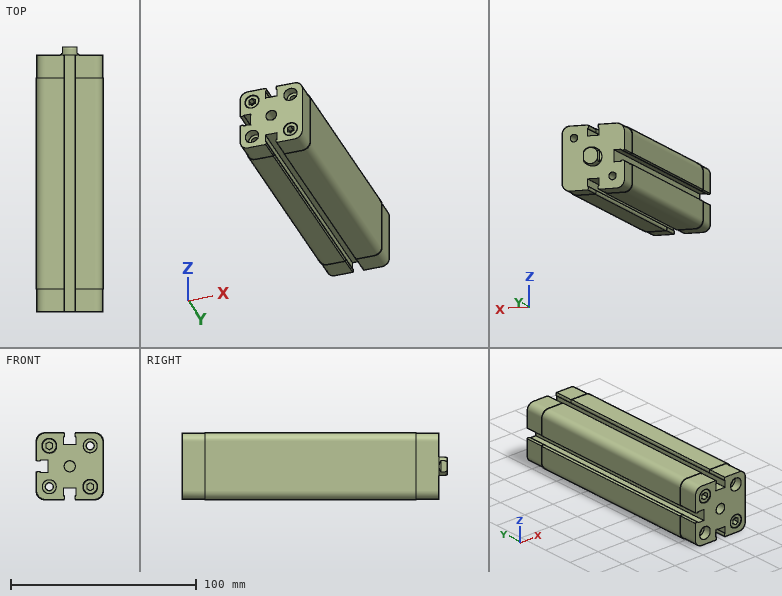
import cadquery as cq
import math

body_side = 36.1
cap_side = 35.6
cap_length = 12.2
housing_length = 138.0
body_length = housing_length - 2 * cap_length
rear_cap_start = housing_length - cap_length
body_corner_radius = 4.6
cap_corner_radius = 4.5

slot_floor_distance = 11.75
slot_lip_distance = 15.7
slot_mouth_width = 5.5
slot_inner_width = 6.6
slot_lip_bulge = 0.4
slot_turns = (0, -90, 180)

hole_offset = 11.0
mounting_places = [(hole_offset, hole_offset), (-hole_offset, -hole_offset)]
screw_places = [(-hole_offset, hole_offset), (hole_offset, -hole_offset)]
through_diameter = 4.13
counterbore_diameter = 7.5
counterbore_depth = 5.0
screw_pocket_diameter = 8.0
screw_pocket_depth = 5.0
screw_head_diameter = 7.5
screw_head_recess = 0.2
hex_across_flats = 3.7
hex_across_corners = hex_across_flats / math.cos(math.pi / 6)
hex_depth = 4.0
hex_turn = 90

port_diameter = 6.0
port_depth = 8.0

rod_diameter = 10.0
rod_length = 4.5
rod_tip_length = 1.45
rod_tip_depth = 0.55
rod_flat_width = 8.0
rod_flat_length = 3.4


def along_y(y):
    """Sketch plane at the given Y, facing +Y, with first axis along -X and second along +Z."""
    return cq.Workplane(cq.Plane(origin=(0, y, 0), xDir=(-1, 0, 0), normal=(0, 1, 0)))


def square_bar(side, corner_radius, start, length):
    """Bar along Y with rounded long edges."""
    bar = along_y(start).rect(side, side).extrude(length)
    return bar.edges("|Y").fillet(corner_radius)


def make_housing():
    """Square tube between two slightly smaller end caps."""
    body = square_bar(body_side, body_corner_radius, cap_length, body_length)
    front_cap = square_bar(cap_side, cap_corner_radius, 0, cap_length)
    rear_cap = square_bar(cap_side, cap_corner_radius, rear_cap_start, cap_length)
    return body.union(front_cap).union(rear_cap)


def make_slot(start, length, side):
    """Slot through the +Z face of a bar of the given side, between two lips that bulge inward."""
    mouth = slot_mouth_width / 2
    inner = slot_inner_width / 2
    lip_edge = mouth + slot_lip_bulge
    top = side / 2
    lip_middle = (slot_lip_distance + top) / 2
    return (
        along_y(start)
        .moveTo(inner, slot_floor_distance)
        .lineTo(inner, slot_lip_distance)
        .lineTo(lip_edge, slot_lip_distance)
        .threePointArc((mouth, lip_middle), (lip_edge, top))
        .lineTo(-lip_edge, top)
        .threePointArc((-mouth, lip_middle), (-lip_edge, slot_lip_distance))
        .lineTo(-inner, slot_lip_distance)
        .lineTo(-inner, slot_floor_distance)
        .close()
        .extrude(length)
    )


def cut_slots(part):
    """Slots along the top, left and bottom faces, over the caps and the body."""
    sections = (
        (0, cap_length, cap_side),
        (cap_length, body_length, body_side),
        (rear_cap_start, cap_length, cap_side),
    )
    for section in sections:
        for turn in slot_turns:
            part = part.cut(make_slot(*section).rotate((0, 0, 0), (0, 1, 0), turn))
    return part


def face_points(places):
    """(X, Z) places turned into the mirrored first axis of the sketch planes."""
    return [(-x, z) for x, z in places]


def front_cylinders(places, diameter, start, length):
    """Cylinders along Y at the given (X, Z) places."""
    points = face_points(places)
    return along_y(start).pushPoints(points).circle(diameter / 2).extrude(length)


def cut_mounting_holes(part):
    """Counterbored through holes on one diagonal of the front face."""
    through = front_cylinders(mounting_places, through_diameter, 0, housing_length)
    counterbore = front_cylinders(mounting_places, counterbore_diameter, 0, counterbore_depth)
    return part.cut(through).cut(counterbore)


def add_cap_screws(part):
    """Socket head screws seated in pockets on the other diagonal."""
    pocket = front_cylinders(screw_places, screw_pocket_diameter, 0, screw_pocket_depth)
    head_length = screw_pocket_depth - screw_head_recess
    heads = front_cylinders(screw_places, screw_head_diameter, screw_head_recess, head_length)
    socket = (
        along_y(screw_head_recess)
        .polygon(6, hex_across_corners)
        .extrude(hex_depth)
        .rotate((0, 0, 0), (0, 1, 0), hex_turn)
    )
    part = part.cut(pocket).union(heads)
    for x, z in screw_places:
        part = part.cut(socket.translate((x, 0, z)))
    return part


def cut_port(part):
    """Blind air port in the middle of the front face."""
    return part.cut(front_cylinders([(0, 0)], port_diameter, 0, port_depth))


def make_rod():
    """Rod end with a rounded tip and two flats that run out at 45 degrees."""
    radius = rod_diameter / 2
    rod_end = housing_length + rod_length
    rod = (
        cq.Workplane("XY")
        .moveTo(0, housing_length)
        .lineTo(radius, housing_length)
        .lineTo(radius, rod_end - rod_tip_length)
        .tangentArcPoint((radius - rod_tip_depth, rod_end), relative=False)
        .lineTo(0, rod_end)
        .close()
        .revolve(360, (0, 0), (0, 1))
    )

    half_flat = rod_flat_width / 2
    flat_start = rod_end - rod_flat_length
    runout = radius - half_flat
    flat_outline = [
        (half_flat, rod_end),
        (half_flat, flat_start),
        (radius, flat_start - runout),
        (radius, rod_end),
    ]
    flat = cq.Workplane("XY").polyline(flat_outline).close().extrude(radius, both=True)
    return rod.cut(flat).cut(flat.mirror("YZ"))


housing = cut_slots(make_housing())
housing = cut_mounting_holes(housing)
housing = add_cap_screws(housing)
housing = cut_port(housing)
result = housing.union(make_rod())